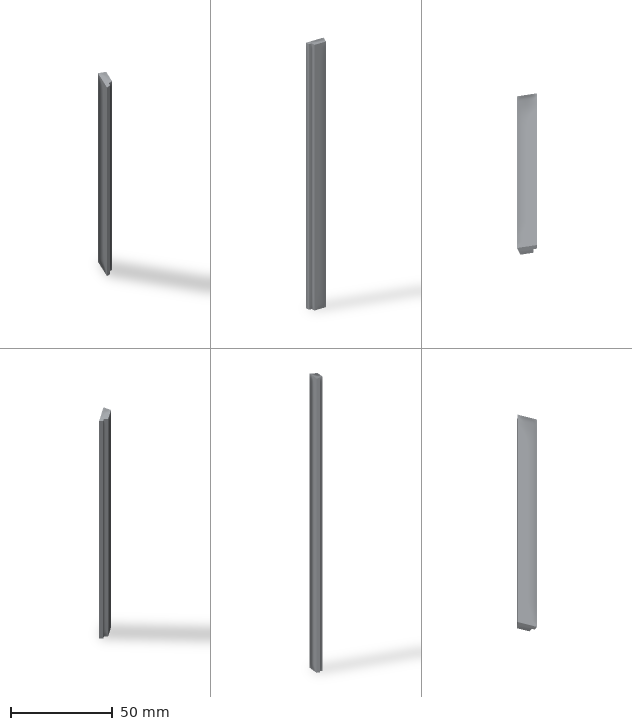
import cadquery as cq

length = 150.0
base_width = 10.0
height = 4.0
flank_inset = 1.0
step_height = 2.0
ledge_width = 1.5


def inset_at(rise):
    """Inward shift along X of a leaning flank at a given rise above the wide face."""
    return flank_inset * rise / height


def make_bar():
    """Extrude the stepped trapezoid section along Z."""
    half_width = base_width / 2
    base_y = -height / 2
    top_y = base_y + height
    step_y = base_y + step_height
    ledge_outer_x = half_width - inset_at(step_height)
    ledge_inner_x = ledge_outer_x - ledge_width
    section = [
        (-half_width, base_y),
        (half_width, base_y),
        (ledge_outer_x, step_y),
        (ledge_inner_x, step_y),
        (half_width - ledge_width - inset_at(height), top_y),
        (-half_width + inset_at(height), top_y),
    ]
    return cq.Workplane("XY").polyline(section).close().extrude(length)


result = make_bar()